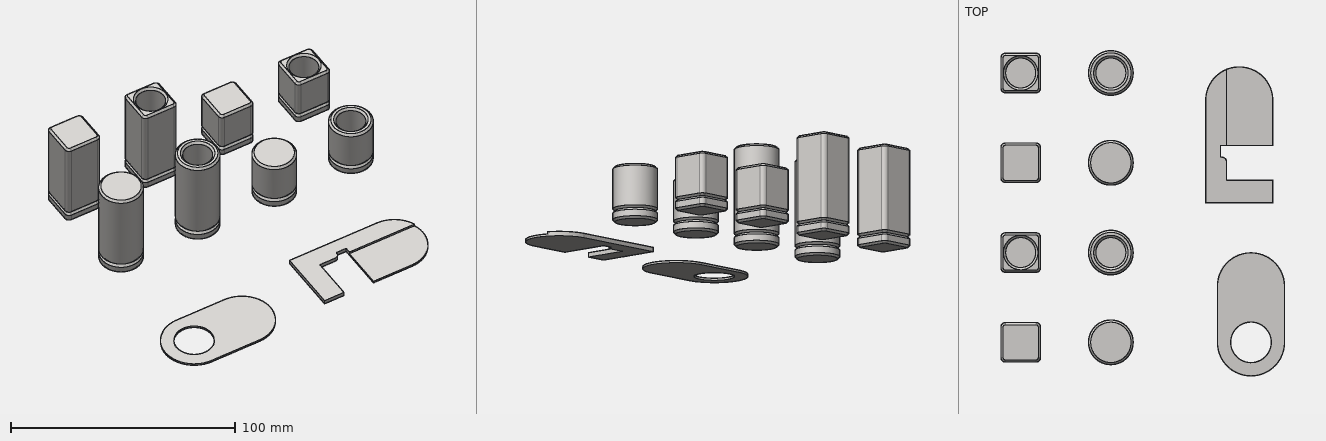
import cadquery as cq

overall_width = 126.5
overall_depth = 145.0

square_width = 17.7
round_diameter = 20.0
plate_width = 30.0
plate_radius = plate_width / 2
post_heights = [45.0, 45.0, 25.0, 25.0]
square_x = square_width / 2
round_x = 49.0
first_row_y = plate_radius
row_pitch = (overall_depth - first_row_y - round_diameter / 2) / (len(post_heights) - 1)

edge_chamfer = 1.0
corner_radius = 2.0
bore_floor = 5.0
bore_diameter = 13.3
bore_chamfer = 1.0

groove_middle = 5.0
groove_depth = 1.0

hole_plate_thickness = 1.0
hole_plate_x = overall_width - plate_radius
hole_plate_length = 55.0
plate_hole_diameter = 18.0

step_plate_thickness = 2.0
lobe_thickness = 1.0
step_plate_left = 91.2
step_plate_right = step_plate_left + plate_width
step_plate_front = 77.1
step_plate_back = 137.8
arm_width = 10.2
notch_width = 15.4
spine_width = 9.4
pocket_depth = 2.8
pocket_width = 5.1
ledge_radius = 2.3


def post_profile(height):
    """Inset and height at each edge of a post's side, from bottom to top."""
    return [
        (edge_chamfer, 0),
        (0, edge_chamfer),
        (0, groove_middle - groove_depth),
        (groove_depth, groove_middle),
        (0, groove_middle + groove_depth),
        (0, height - edge_chamfer),
        (edge_chamfer, height),
    ]


def square_layer(low, low_inset, high, high_inset):
    """Layer of the square post between two heights, each outline moved inward by its inset."""
    outlines = []
    for height, inset in ((low, low_inset), (high, high_inset)):
        side = square_width - 2 * inset
        outline = cq.Sketch().rect(side, side).vertices().fillet(corner_radius - inset)
        outlines.append(outline.moved(cq.Location(cq.Vector(0, 0, height))))
    return cq.Workplane("XY").placeSketch(*outlines).loft()


def square_post(height):
    """Square post with rounded corners, chamfered ends and a V-groove."""
    levels = post_profile(height)
    layers = cq.Workplane("XY")
    for (low_inset, low), (high_inset, high) in zip(levels, levels[1:]):
        layers = layers.add(square_layer(low, low_inset, high, high_inset))
    return layers.combine()


def round_post(height):
    """Round post with chamfered ends and a V-groove."""
    side = [(round_diameter / 2 - inset, level) for inset, level in post_profile(height)]
    outline = [(0, 0), *side, (0, height)]
    return cq.Workplane("XZ").polyline(outline).close().revolve(360, (0, 0, 0), (0, 1, 0))


def bored(post, height):
    """Post with a blind bore from its top and a chamfer around the mouth."""
    radius = bore_diameter / 2
    bore = (
        cq.Workplane("XZ")
        .moveTo(0, bore_floor)
        .lineTo(radius, bore_floor)
        .lineTo(radius, height - bore_chamfer)
        .lineTo(radius + bore_chamfer, height)
        .lineTo(0, height)
        .close()
        .revolve(360, (0, 0, 0), (0, 1, 0))
    )
    return post.cut(bore)


def hole_plate():
    """Thin plate with two round ends and a hole at its front end."""
    return (
        cq.Workplane("XY", origin=(hole_plate_x, hole_plate_length / 2, 0))
        .slot2D(hole_plate_length, plate_width, 90)
        .extrude(hole_plate_thickness)
        .center(0, plate_radius - hole_plate_length / 2)
        .circle(plate_hole_diameter / 2)
        .cutThruAll()
    )


def step_plate():
    """Notched plate, thinner over the round lobe to the right of its spine."""
    spine_x = step_plate_left + spine_width
    pocket_x = spine_x - pocket_depth
    notch_front = step_plate_front + arm_width
    notch_back = notch_front + notch_width
    ledge_y = notch_back - pocket_width
    shoulder_y = step_plate_back - plate_radius
    plate = (
        cq.Workplane("XY")
        .moveTo(step_plate_left, step_plate_front)
        .lineTo(step_plate_right, step_plate_front)
        .lineTo(step_plate_right, notch_front)
        .lineTo(spine_x, notch_front)
        .lineTo(spine_x, ledge_y - ledge_radius)
        .radiusArc((spine_x - ledge_radius, ledge_y), -ledge_radius)
        .lineTo(pocket_x, ledge_y)
        .lineTo(pocket_x, notch_back)
        .lineTo(step_plate_right, notch_back)
        .lineTo(step_plate_right, shoulder_y)
        .threePointArc((step_plate_left + plate_radius, step_plate_back), (step_plate_left, shoulder_y))
        .close()
        .extrude(step_plate_thickness)
    )
    step = cq.Workplane("XY").box(
        plate_width, step_plate_back - notch_back, step_plate_thickness, centered=False
    ).translate((spine_x, notch_back, lobe_thickness))
    return plate.cut(step)


posts = []
for row, height in enumerate(post_heights):
    square = square_post(height)
    cylinder = round_post(height)
    if row % 2 == 1:
        square = bored(square, height)
        cylinder = bored(cylinder, height)
    row_y = first_row_y + row * row_pitch
    posts.append(square.translate((square_x, row_y, 0)).val())
    posts.append(cylinder.translate((round_x, row_y, 0)).val())

result = cq.Compound.makeCompound([*posts, hole_plate().val(), step_plate().val()])